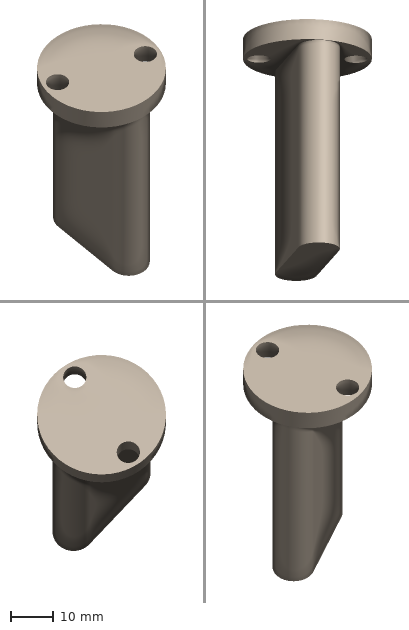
import cadquery as cq

total_height = 55.5
head_diameter = 30.5
head_thickness = 5.0
blade_length = 30.0
blade_width = 10.0

hole_diameter = 5.5
hole_circle_radius = 11.5
hole_angle = 75.0
hole_count = 2

blade_height = total_height - head_thickness

blade = cq.Workplane("XY").slot2D(blade_length, blade_width).extrude(blade_height)

head = (
    cq.Workplane("XY", origin=(0, 0, blade_height))
    .circle(head_diameter / 2)
    .extrude(head_thickness)
)

holes = (
    cq.Workplane("XY", origin=(0, 0, blade_height))
    .polarArray(hole_circle_radius, hole_angle, 360, hole_count)
    .circle(hole_diameter / 2)
    .extrude(head_thickness)
)

result = blade.union(head.cut(holes))